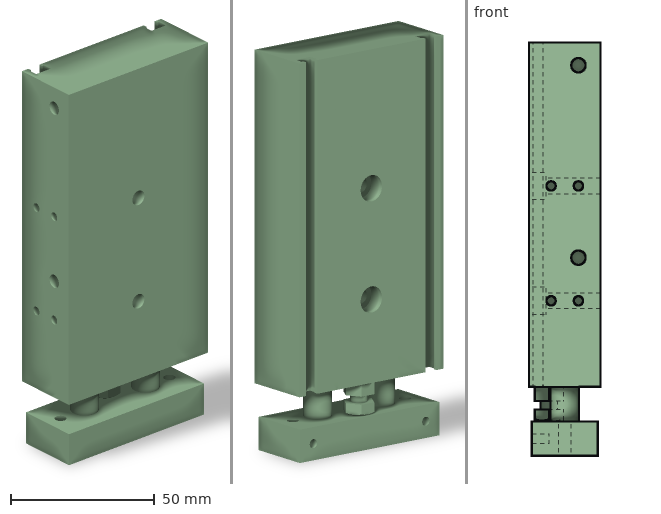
import cadquery as cq
import math


housing_depth = 25.0
housing_width = 64.0
total_height = 144.0
plate_height = 12.0
rod_exposed_length = 12.0
housing_bottom = plate_height + rod_exposed_length
housing_height = total_height - housing_bottom
front_face_x = -housing_depth / 2

slot_center_y = 26.5
slot_opening_width = 5.0
slot_chamber_width = 6.5
slot_lip_thickness = 1.5
slot_depth = 5.0

mount_hole_diameter = 5.5
mount_counterbore_diameter = 9.5
mount_counterbore_depth = 6.0
lower_mount_z = 54.0
mount_spacing = 40.0
mount_heights = [lower_mount_z, lower_mount_z + mount_spacing]

side_hole_x = 4.75
tapped_hole_diameter = 3.24
tapped_hole_depth = 6.0
port_diameter = 5.0
port_depth = 6.0
port_heights = [69.0, 136.0]

plate_depth = 23.0
plate_width = 62.0
rod_diameter = 10.0
rod_spacing = 28.0
plate_hole_spacing = 50.0
plate_front_hole_depth = 6.0
plate_vertical_hole_diameter = 4.2

bolt_x = -5.5
shank_diameter = 6.0
hex_across_flats = 10.0
hex_half_sector = 30.0
hex_across_corners = hex_across_flats / math.cos(math.radians(hex_half_sector))
head_height = 4.9
nut_height = 4.2
nut_seat_diameter = 9.0
nut_chamfer_angle = 30.0


def hole_along_x(diameter, depth, start_x, y, z):
    """Cylinder that starts at start_x and runs toward +X."""
    plane = cq.Workplane("YZ", origin=(start_x, y, z))
    return plane.circle(diameter / 2).extrude(depth)


def side_hole(diameter, depth, x, z):
    """Cylinder that starts on the housing's -Y side and runs toward +Y."""
    plane = cq.Workplane("XZ", origin=(x, -housing_width / 2, z))
    return plane.circle(diameter / 2).extrude(-depth)


def t_slot(center_y):
    opening = cq.Workplane("XY").box(
        slot_depth, slot_opening_width, housing_height, centered=(False, True, False)
    )
    chamber = cq.Workplane("XY", origin=(slot_lip_thickness, 0, 0)).box(
        slot_depth - slot_lip_thickness,
        slot_chamber_width,
        housing_height,
        centered=(False, True, False),
    )
    return opening.union(chamber).translate((front_face_x, center_y, housing_bottom))


def make_housing():
    housing = cq.Workplane("XY", origin=(0, 0, housing_bottom)).box(
        housing_depth, housing_width, housing_height, centered=(True, True, False)
    )
    for side in (-1, 1):
        housing = housing.cut(t_slot(side * slot_center_y))
    for z in mount_heights:
        bore = hole_along_x(mount_hole_diameter, housing_depth, front_face_x, 0, z)
        counterbore = hole_along_x(
            mount_counterbore_diameter, mount_counterbore_depth, front_face_x, 0, z
        )
        housing = housing.cut(bore).cut(counterbore)
        for x in (-side_hole_x, side_hole_x):
            housing = housing.cut(side_hole(tapped_hole_diameter, tapped_hole_depth, x, z))
    for z in port_heights:
        housing = housing.cut(side_hole(port_diameter, port_depth, side_hole_x, z))
    return housing


def make_rod_plate():
    """End plate with the two guide rods standing on it up to the housing."""
    plate = cq.Workplane("XY").box(
        plate_depth, plate_width, plate_height, centered=(True, True, False)
    )
    for side in (-1, 1):
        rod = (
            cq.Workplane("XY", origin=(0, side * rod_spacing / 2, plate_height))
            .circle(rod_diameter / 2)
            .extrude(rod_exposed_length)
        )
        hole_y = side * plate_hole_spacing / 2
        front_hole = hole_along_x(
            tapped_hole_diameter, plate_front_hole_depth, -plate_depth / 2, hole_y, plate_height / 2
        )
        vertical_hole = (
            cq.Workplane("XY", origin=(0, hole_y, 0))
            .circle(plate_vertical_hole_diameter / 2)
            .extrude(plate_height)
        )
        plate = plate.union(rod).cut(front_hole).cut(vertical_hole)
    return plate


def hex_prism(bottom_z, height):
    """Hexagonal prism with two flats square to X."""
    return (
        cq.Workplane("XY", origin=(bolt_x, 0, bottom_z))
        .transformed(rotate=(0, 0, hex_half_sector))
        .polygon(6, hex_across_corners)
        .extrude(height)
    )


def nut_chamfer_cone():
    """Cone opening upward from the nut's bottom face, trimming its lower corners."""
    bottom_radius = nut_seat_diameter / 2
    top_radius = bottom_radius + nut_height / math.tan(math.radians(nut_chamfer_angle))
    return (
        cq.Workplane("XZ")
        .polyline([(0, 0), (bottom_radius, 0), (top_radius, nut_height), (0, nut_height)])
        .close()
        .revolve(360, (0, 0), (0, 1))
        .translate((bolt_x, 0, plate_height))
    )


def make_stop_bolt():
    """Bolt between plate and housing, head up, with the lock nut on the plate."""
    shank = (
        cq.Workplane("XY", origin=(bolt_x, 0, plate_height))
        .circle(shank_diameter / 2)
        .extrude(rod_exposed_length)
    )
    head = hex_prism(housing_bottom - head_height, head_height)
    nut = hex_prism(plate_height, nut_height).intersect(nut_chamfer_cone())
    return shank.union(head).union(nut)


housing = make_housing()
rod_plate = make_rod_plate()
stop_bolt = make_stop_bolt()

result = cq.Compound.makeCompound([housing.val(), rod_plate.val(), stop_bolt.val()])